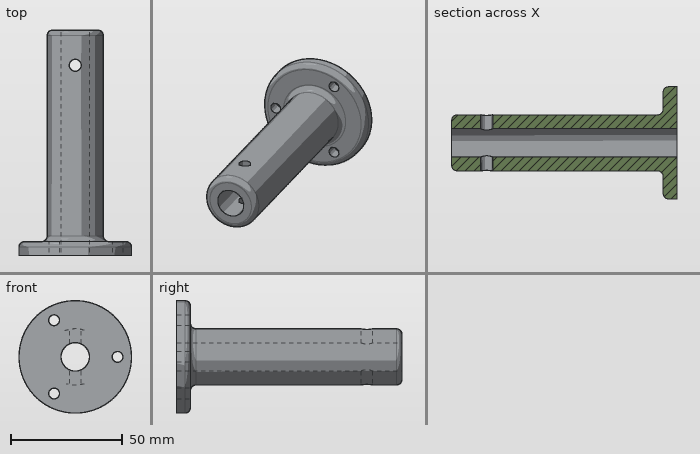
import cadquery as cq

total_length = 101.6
flange_diameter = 50.8
flange_thickness = 6.35
post_diameter = flange_diameter / 2
bore_diameter = post_diameter / 2
edge_radius = 2.54

screw_hole_count = 3
screw_hole_diameter = 4.7625
screw_circle_diameter = 38.1

pin_hole_diameter = 5.3
pin_hole_from_end = 15.875


def cylinder_along_y(diameter, length, x=0):
    """Cylinder running from Y = 0 towards +Y."""
    start = cq.Vector(x, 0, 0)
    return cq.Workplane(cq.Solid.makeCylinder(diameter / 2, length, start, cq.Vector(0, 1, 0)))


def make_body():
    flange = cylinder_along_y(flange_diameter, flange_thickness)
    post = cylinder_along_y(post_diameter, total_length)
    body = flange.union(post)
    rounded_edges = body.edges("%CIRCLE").edges("not <Y")
    return rounded_edges.fillet(edge_radius)


def cut_bore(body):
    return body.cut(cylinder_along_y(bore_diameter, total_length))


def cut_screw_holes(body):
    angle_step = 360 / screw_hole_count
    hole = cylinder_along_y(screw_hole_diameter, flange_thickness, x=screw_circle_diameter / 2)
    for index in range(screw_hole_count):
        body = body.cut(hole.rotate((0, 0, 0), (0, 1, 0), index * angle_step))
    return body


def cut_pin_hole(body):
    """Cross hole along Z through both walls of the post."""
    pin_y = total_length - pin_hole_from_end
    start = cq.Vector(0, pin_y, -post_diameter / 2)
    hole = cq.Solid.makeCylinder(pin_hole_diameter / 2, post_diameter, start, cq.Vector(0, 0, 1))
    return body.cut(cq.Workplane(hole))


result = cut_pin_hole(cut_screw_holes(cut_bore(make_body())))